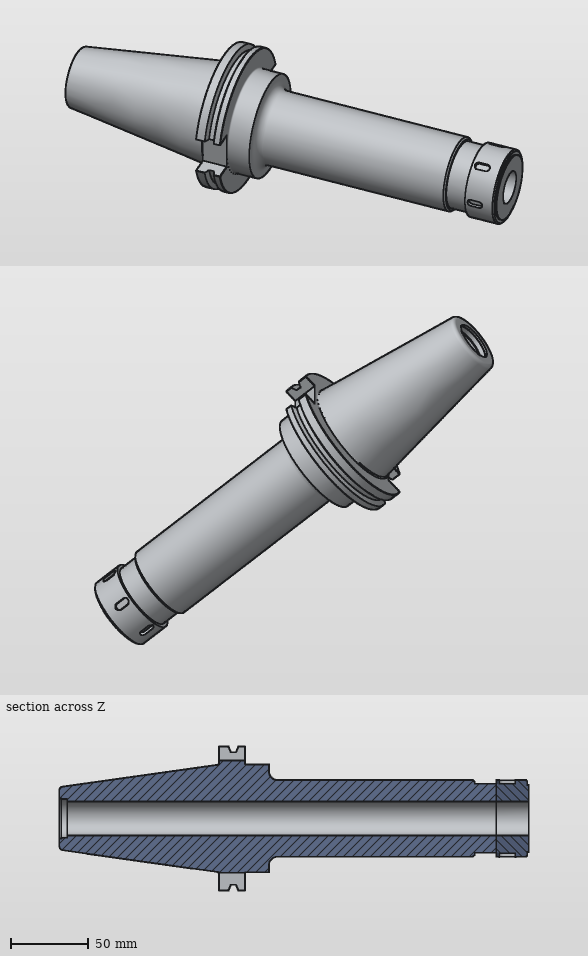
import cadquery as cq
import math

total_length = 305.0
taper_length = 102.8
flange_start = 103.7
flange_end = 120.8
collar_end = 136.3
shank_end = 270.0
nut_start = 284.0

taper_small_diameter = 41.0
taper_large_diameter = 69.8
collar_diameter = 70.0
flange_diameter = 97.3
shank_diameter = 50.0
neck_diameter = 45.0

taper_end_fillet = 2.7
shank_root_fillet = 5.5
flange_root_fillet = 1.0
flange_edge_chamfer = 0.3
shank_end_chamfer = 1.2

groove_center = 113.0
groove_top_width = 6.5
groove_bottom_width = 3.5
groove_depth = 3.7

key_slot_width = 25.3
key_floor_front = 35.5
key_floor_back = 37.8

bore_diameter = 22.0
entry_diameter = 26.0
entry_depth = 1.5
pilot_diameter = 25.0
pilot_depth = 5.2

nut_diameter = 50.0
nut_chamfer = 1.0
nut_lip_diameter = 43.5
nut_lip_height = 1.0
wrench_slot_count = 6
wrench_slot_start = 285.8
wrench_slot_length = 10.5
wrench_slot_width = 5.0
wrench_slot_depth = 2.5


def cylinder_x(diameter, start, end):
    """Cylinder on the X axis between two stations."""
    return cq.Workplane("YZ", origin=(start, 0, 0)).circle(diameter / 2).extrude(end - start)


def revolve_x(outline):
    """Turn a closed outline drawn in (x, radius) about the X axis."""
    return outline.close().revolve(360, (0, 0, 0), (1, 0, 0))


def turned_blank():
    """Taper, flange, collar, shank and neck as one solid turned shape."""
    shank_radius = shank_diameter / 2
    outline = (
        cq.Workplane("XY")
        .lineTo(0, taper_small_diameter / 2)
        .lineTo(taper_length, taper_large_diameter / 2)
        .radiusArc((flange_start, taper_large_diameter / 2 + flange_root_fillet), -flange_root_fillet)
        .lineTo(flange_start, flange_diameter / 2)
        .lineTo(flange_end, flange_diameter / 2)
        .lineTo(flange_end, collar_diameter / 2 + flange_root_fillet)
        .radiusArc((flange_end + flange_root_fillet, collar_diameter / 2), -flange_root_fillet)
        .lineTo(collar_end, collar_diameter / 2)
        .lineTo(collar_end, shank_radius + shank_root_fillet)
        .radiusArc((collar_end + shank_root_fillet, shank_radius), -shank_root_fillet)
        .lineTo(shank_end - shank_end_chamfer, shank_radius)
        .lineTo(shank_end, shank_radius - shank_end_chamfer)
        .lineTo(shank_end, neck_diameter / 2)
        .lineTo(nut_start, neck_diameter / 2)
        .lineTo(nut_start, 0)
    )
    return revolve_x(outline).faces("<X").edges().fillet(taper_end_fillet)


def gripper_groove():
    """Ring with sloping flanks, cut around the flange rim."""
    rim = flange_diameter / 2
    outline = (
        cq.Workplane("XY")
        .moveTo(groove_center - groove_top_width / 2, rim)
        .lineTo(groove_center - groove_bottom_width / 2, rim - groove_depth)
        .lineTo(groove_center + groove_bottom_width / 2, rim - groove_depth)
        .lineTo(groove_center + groove_top_width / 2, rim)
    )
    return revolve_x(outline)


def key_slot(floor, side):
    """Rectangular slot across the flange; side is -1 for -Y and +1 for +Y."""
    radial_depth = flange_diameter / 2 - floor
    return (
        cq.Workplane("XY", origin=(flange_start, side * (floor + radial_depth / 2), 0))
        .box(flange_end - flange_start, radial_depth, key_slot_width, centered=(False, True, True))
    )


def stepped_bore():
    """Through bore with two wider steps at the taper end."""
    return (
        cylinder_x(bore_diameter, 0, total_length)
        .union(cylinder_x(pilot_diameter, 0, pilot_depth))
        .union(cylinder_x(entry_diameter, 0, entry_depth))
    )


def break_flange_edges(body):
    """Chamfer the flange rim and the side walls of the key slots, but not the slot floors."""
    floor_corner_radius = math.hypot(key_floor_back, key_slot_width / 2)

    def lies_outside_floors(edge):
        middle = edge.positionAt(0.5)
        return math.hypot(middle.y, middle.z) > floor_corner_radius + flange_edge_chamfer

    return body.edges().filter(lies_outside_floors).chamfer(flange_edge_chamfer)


def make_holder():
    holder = turned_blank().cut(key_slot(key_floor_front, -1)).cut(key_slot(key_floor_back, 1))
    holder = break_flange_edges(holder)
    return holder.cut(gripper_groove()).cut(stepped_bore())


def wrench_slot(angle):
    """Round-ended slot sunk into the nut rim, turned about X from the -Y side."""
    floor = nut_diameter / 2 - wrench_slot_depth
    return (
        cq.Workplane("XZ", origin=(wrench_slot_start + wrench_slot_length / 2, -floor, 0))
        .slot2D(wrench_slot_length, wrench_slot_width)
        .extrude(2 * wrench_slot_depth)
        .rotate((0, 0, 0), (1, 0, 0), angle)
    )


def make_nut():
    rim_end = total_length - nut_lip_height
    nut = cylinder_x(nut_diameter, nut_start, rim_end).faces(">X").chamfer(nut_chamfer)
    nut = nut.union(cylinder_x(nut_lip_diameter, rim_end, total_length))
    nut = nut.cut(cylinder_x(bore_diameter, nut_start, total_length))
    for index in range(wrench_slot_count):
        nut = nut.cut(wrench_slot(index * 360 / wrench_slot_count))
    return nut


holder = make_holder()
nut = make_nut()
result = cq.Compound.makeCompound([holder.val(), nut.val()])